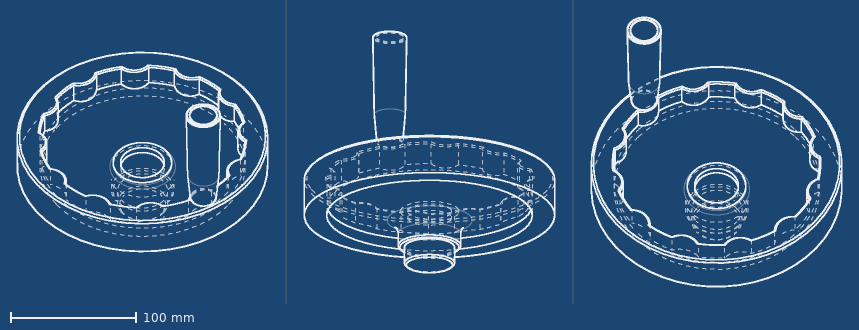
import cadquery as cq
import math


rim_radius = 100.0
rim_depth = 32.2
rim_chamfer = 1.8

recess_radius = 82
recess_chamfer = 1.2
grip_count = 12
grip_radius = 14.8
grip_centre_radius = 91.2
grip_root = 2.0

web_slope = math.radians(15)
web_back_start_radius = 48.5
web_thickness = 5.5

hub_face_radius = 23.5
hub_face_depth = 28.5
hub_face_blend = 2.2
hub_bore_radius = 35.0 / 2
hub_bore_depth = 5.5
hub_radius = 25.0
hub_back_depth = 59.2
hub_back_blend = 12.0
hub_chamfer = 1.5

bush_radius = 40 / 2
bush_back_depth = 74.2
bush_chamfer = 1.5

handle_height = 90.2
handle_end_radius = 27.2 / 2
handle_chamfer = 0.5
handle_centre = rim_radius - handle_end_radius
handle_break_radius = 25.0 / 2
handle_break_height = 24.5
handle_base_radius = 10.5
end_groove_outer_radius = 22 / 2
end_groove_inner_radius = 21.5 / 2
end_groove_depth = 0.5


def cylinder(radius, bottom, top):
    return cq.Workplane("XY").workplane(offset=bottom).circle(radius).extrude(top - bottom)


def revolve_about_z(profile):
    return profile.close().revolve(360, (0, 0, 0), (0, 1, 0))


def web_back(radius):
    """Height of the back cone of the web."""
    return -rim_depth + (radius - web_back_start_radius) * math.tan(web_slope)


def web_front(radius):
    """Height of the front cone of the web."""
    return web_back(radius) + web_thickness


def polar_point(centre, radius, angle):
    return (centre[0] + radius * math.cos(angle), centre[1] + radius * math.sin(angle))


def make_wheel_body():
    """Rim, web and hub turned in one piece, with concave blends from the hub into the web."""
    front_normal = web_slope - math.pi / 2
    front_end_radius = hub_face_radius + hub_face_blend * (1 + math.sin(web_slope))
    front_end = (front_end_radius, web_front(front_end_radius))
    front_centre = (
        hub_face_radius + hub_face_blend,
        front_end[1] + hub_face_blend * math.cos(web_slope),
    )
    front_middle = polar_point(front_centre, hub_face_blend, (front_normal - math.pi) / 2)

    back_normal = web_slope + math.pi / 2
    back_end_radius = hub_radius + hub_back_blend * (1 - math.sin(web_slope))
    back_end = (back_end_radius, web_back(back_end_radius))
    back_centre = (
        hub_radius + hub_back_blend,
        back_end[1] - hub_back_blend * math.cos(web_slope),
    )
    back_middle = polar_point(back_centre, hub_back_blend, (back_normal + math.pi) / 2)

    return revolve_about_z(
        cq.Workplane("XZ")
        .moveTo(0, -hub_face_depth)
        .lineTo(hub_face_radius, -hub_face_depth)
        .lineTo(hub_face_radius, front_centre[1])
        .threePointArc(front_middle, front_end)
        .lineTo(recess_radius, web_front(recess_radius))
        .lineTo(recess_radius, 0)
        .lineTo(rim_radius - rim_chamfer, 0)
        .lineTo(rim_radius, -rim_chamfer)
        .lineTo(rim_radius, -rim_depth)
        .lineTo(recess_radius, -rim_depth)
        .lineTo(recess_radius, web_back(recess_radius))
        .lineTo(*back_end)
        .threePointArc(back_middle, (hub_radius, back_centre[1]))
        .lineTo(hub_radius, -hub_back_depth + hub_chamfer)
        .lineTo(hub_radius - hub_chamfer, -hub_back_depth)
        .lineTo(0, -hub_back_depth)
    )


def make_grips():
    """Rounded bulges on the recess wall, standing on the web."""
    foot = web_front(recess_radius) - web_thickness / 2
    columns = (
        cq.Workplane("XY")
        .workplane(offset=foot)
        .polarArray(grip_centre_radius, 0, 360, grip_count)
        .circle(grip_radius)
        .extrude(-foot)
    )
    return columns.intersect(cylinder(recess_radius + grip_root, foot, 0))


def chamfer_recess_mouth(wheel):
    reach = recess_radius + grip_root
    mouth = cq.selectors.BoxSelector(
        (-reach, -reach, -recess_chamfer), (reach, reach, recess_chamfer), boundingbox=True
    )
    return wheel.edges(mouth).chamfer(recess_chamfer)


def make_bush():
    bush = cylinder(bush_radius, -bush_back_depth, -hub_back_depth)
    return bush.faces("<Z").edges().chamfer(bush_chamfer)


def make_bore():
    return cylinder(hub_bore_radius, -hub_face_depth - hub_bore_depth, -hub_face_depth)


def make_handle():
    """Two-taper grip with a fine ring groove in its end face."""
    handle = revolve_about_z(
        cq.Workplane("XZ")
        .lineTo(handle_base_radius - handle_chamfer, 0)
        .lineTo(handle_base_radius, handle_chamfer)
        .lineTo(handle_break_radius, handle_break_height)
        .lineTo(handle_end_radius, handle_height - handle_chamfer)
        .lineTo(handle_end_radius - handle_chamfer, handle_height)
        .lineTo(0, handle_height)
    )
    groove_floor = handle_height - end_groove_depth
    groove = cylinder(end_groove_outer_radius, groove_floor, handle_height).cut(
        cylinder(end_groove_inner_radius, groove_floor, handle_height)
    )
    return handle.cut(groove).translate((handle_centre, 0, 0))


wheel = chamfer_recess_mouth(make_wheel_body().union(make_grips()))
result = wheel.union(make_bush()).cut(make_bore()).union(make_handle())